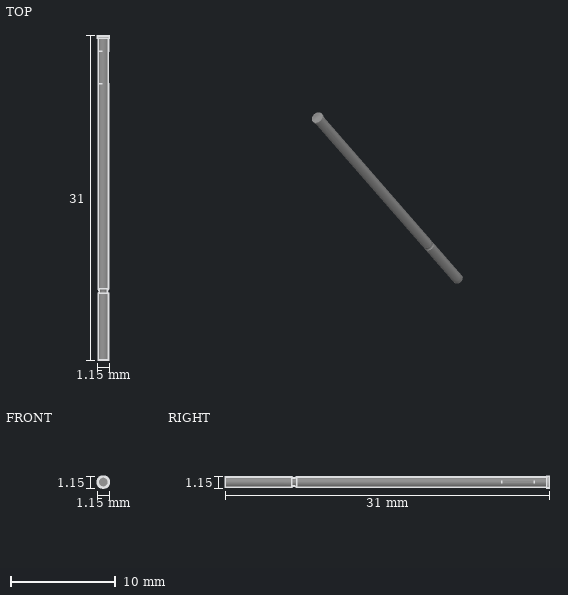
import math

import cadquery as cq

total_length = 31.0
body_radius = 0.5
head_radius = 1.15 / 2
head_length = 0.25

groove_bottom_position = 6.55
groove_bottom_radius = 0.39
groove_head_side_width = 0.3
groove_end_side_width = 0.17

flat_count = 3
flat_start = 26.44
flat_length = 3.1
flat_width = 0.18


def groove_arc_middle(reach):
    """Middle of the arc that leaves the groove bottom along Y and meets the body after reach."""
    depth = body_radius - groove_bottom_radius
    arc_radius = (reach**2 + depth**2) / (2 * depth)
    half_angle = math.asin(reach / arc_radius) / 2
    rise = arc_radius * (1 - math.cos(half_angle))
    return groove_bottom_radius + rise, groove_bottom_position + arc_radius * math.sin(half_angle)


def make_pin():
    """Revolve the half outline (radius, position along the pin) about the Y axis."""
    groove_start = groove_bottom_position - groove_end_side_width
    groove_end = groove_bottom_position + groove_head_side_width
    head_start = total_length - head_length
    groove_bottom = (groove_bottom_radius, groove_bottom_position)
    outline = (
        cq.Workplane("XY")
        .lineTo(body_radius, 0)
        .lineTo(body_radius, groove_start)
        .threePointArc(groove_arc_middle(-groove_end_side_width), groove_bottom)
        .threePointArc(groove_arc_middle(groove_head_side_width), (body_radius, groove_end))
        .lineTo(body_radius, head_start)
        .lineTo(head_radius, head_start)
        .lineTo(head_radius, total_length)
        .lineTo(0, total_length)
        .close()
    )
    return outline.revolve(360, (0, 0, 0), (0, 1, 0))


def make_flat_cutter(angle):
    """Block outside a flat whose outward direction is turned by angle from +X about Y."""
    flat_distance = math.sqrt(body_radius**2 - (flat_width / 2) ** 2)
    return (
        cq.Workplane("XY")
        .box(body_radius, flat_length, 2 * body_radius, centered=(False, False, True))
        .translate((flat_distance, flat_start, 0))
        .rotate((0, 0, 0), (0, 1, 0), angle)
    )


result = make_pin()
for index in range(flat_count):
    result = result.cut(make_flat_cutter(index * 360 / flat_count))